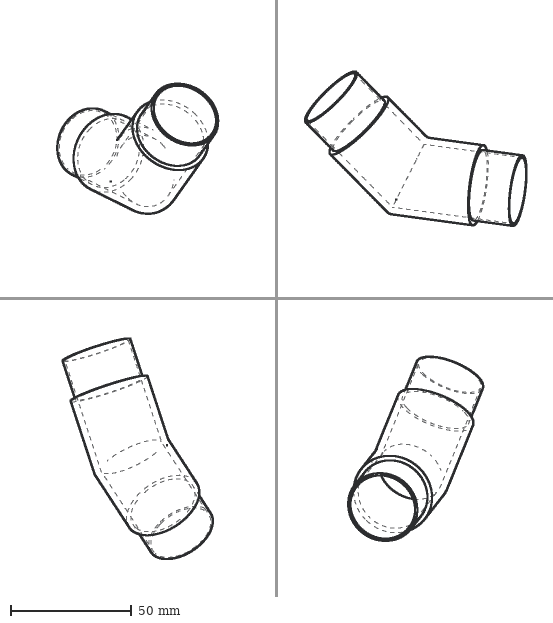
import cadquery as cq
import math

BEND_ANGLE = math.radians(45)
BODY_DIAMETER = 33.7
SPIGOT_DIAMETER = 29.7
BORE_DIAMETER = 27.7
BODY_LENGTH = 30.0
SPIGOT_LENGTH = 17.0
SEAM_RADIUS = 3.0
SIDE_MARGIN = 0.1

LEG_LENGTH = BODY_LENGTH + SPIGOT_LENGTH


def mitred_rod(diameter, leg_length):
    """Round rod along both legs, mitred at the bend centre, which is the origin."""
    upper_end = (leg_length * math.cos(BEND_ANGLE), leg_length * math.sin(BEND_ANGLE))
    centreline = cq.Workplane("XZ").polyline([(-leg_length, 0), (0, 0), upper_end])
    profile = cq.Workplane("YZ", origin=(-leg_length, 0, 0)).circle(diameter / 2)
    return profile.sweep(centreline, transition="right")


def rounded_body():
    """Outer body with its mitred seam rounded: concave inside the bend, convex outside.

    The two legs become tangent at the flanks (+Y and -Y), where the seam has no corner left
    to round, so the rounding is made on the body between the flanks.
    """
    body = mitred_rod(BODY_DIAMETER, BODY_LENGTH)
    slab_size = 4 * LEG_LENGTH
    slab = cq.Workplane("XY").box(slab_size, BODY_DIAMETER - 2 * SIDE_MARGIN, slab_size)
    flanks = body.cut(slab)
    core = body.intersect(slab)
    return core.edges("%ELLIPSE").fillet(SEAM_RADIUS).union(flanks)


spigots = mitred_rod(SPIGOT_DIAMETER, LEG_LENGTH)
bore = mitred_rod(BORE_DIAMETER, LEG_LENGTH)

result = rounded_body().union(spigots).cut(bore)